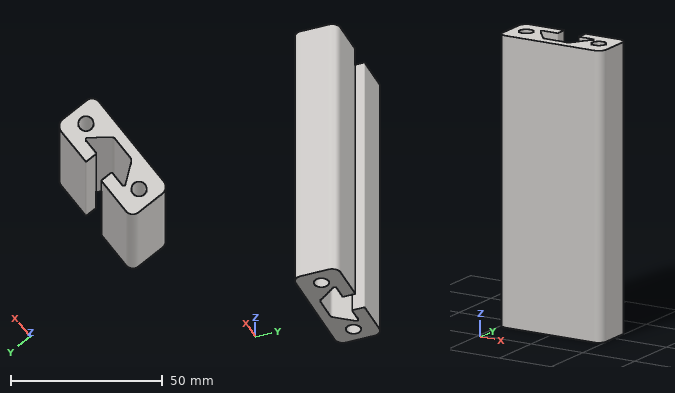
import cadquery as cq

width = 40.0
depth = 16.0
length = 100.0
corner_radius = 3.0

opening_width = 8.0
lip_thickness = 4.5
slot_width = 21.5
slot_depth = 12.3
slot_floor_width = 9.6
lip_edge_radius = 0.3
undercut_radius = 0.6
floor_radius = 1.5

hole_diameter = 5.0
hole_spacing = 28.0

back_y = depth / 2
lip_y = back_y - lip_thickness
floor_y = back_y - slot_depth


def make_body():
    """Rounded rectangular bar, centred on the Z axis and standing on Z = 0."""
    return cq.Workplane("XY").rect(width, depth).extrude(length).edges("|Z").fillet(corner_radius)


def make_slot():
    """Sharp-cornered T-slot with sloping walls, running the full length."""
    right_side = [
        (slot_floor_width / 2, floor_y),
        (slot_width / 2, lip_y),
        (opening_width / 2, lip_y),
        (opening_width / 2, back_y),
    ]
    left_side = [(-x, y) for x, y in reversed(right_side)]
    return cq.Workplane("XY").polyline(right_side + left_side).close().extrude(length)


def round_edge_pair(solid, x, y, radius):
    """Fillet the two lengthwise edges that pass through (x, y) and (-x, y)."""
    for side in (1, -1):
        middle = cq.selectors.NearestToPointSelector((side * x, y, length / 2))
        solid = solid.edges("|Z").edges(middle).fillet(radius)
    return solid


def make_core_holes():
    """Two round bores through the whole length, one on each side of the slot."""
    centres = [(-hole_spacing / 2, 0), (hole_spacing / 2, 0)]
    return cq.Workplane("XY").pushPoints(centres).circle(hole_diameter / 2).extrude(length)


bar = make_body().cut(make_slot())
bar = round_edge_pair(bar, slot_floor_width / 2, floor_y, floor_radius)
bar = round_edge_pair(bar, slot_width / 2, lip_y, undercut_radius)
bar = round_edge_pair(bar, opening_width / 2, lip_y, lip_edge_radius)
bar = round_edge_pair(bar, opening_width / 2, back_y, lip_edge_radius)
result = bar.cut(make_core_holes())